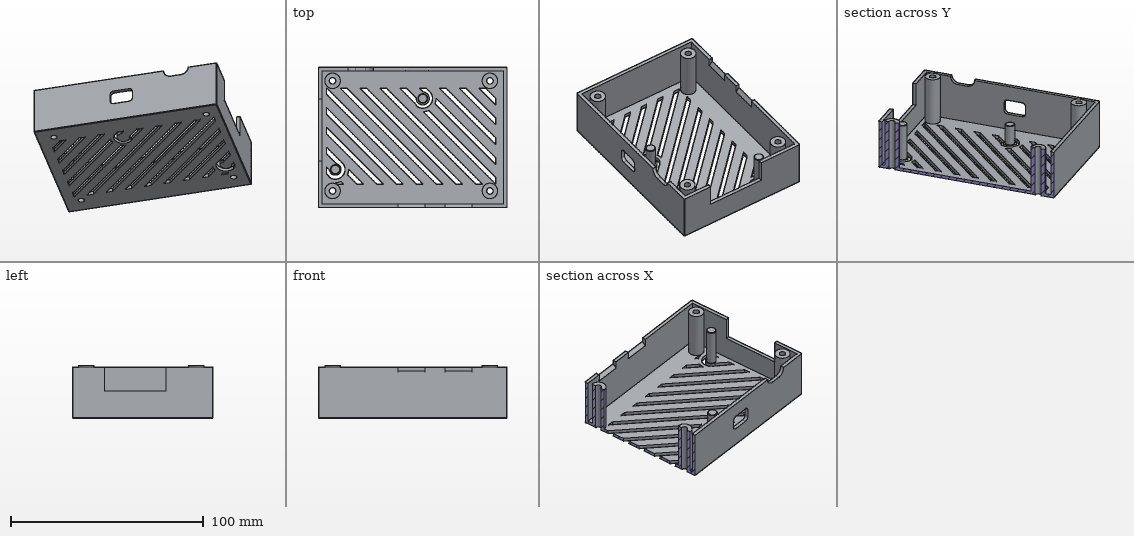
import cadquery as cq
import math

LENGTH = 98.05
WIDTH = 73.0
WALL_TOP = 26.7
WALL = 2.0
FLOOR = 2.0
EDGE_CHAMFER = 0.4

POST_TOP = 27.6
POST_DIAMETER = 8.0
SCREW_DIAMETER = 3.2
POST_SPACING_X = 81.7
POST_SPACING_Y = 57.2
POST_CENTER = (-0.8, 0.8)

VENT_MIN_X, VENT_MAX_X = -44.7, 43.0
VENT_MIN_Y, VENT_MAX_Y = -24.2, 25.5
VENT_WIDTH = 2.4
VENT_PITCH_X = 10.3
VENT_OFFSET_X = -0.1
VENTS_EACH_SIDE = 6

BUTTONS = [
    (5.2, 20.2, 12.8, 6.9),
    (-40.2, -16.7, 21.8, 6.0),
]
PIN_DIAMETER = 5.0
PIN_TIP_DIAMETER = 4.4
BUTTON_GAP_RADIUS = 5.0
BUTTON_WEB_RADIUS = 7.0

FRONT_NOTCH_CENTERS = (-0.6, 23.7)
FRONT_NOTCH_WIDTH = 14.0
FRONT_NOTCH_DEPTH = 2.2

SIDE_NOTCH_MIN_Y, SIDE_NOTCH_MAX_Y = -12.2, 19.8
SIDE_NOTCH_BOTTOM = 14.3

CABLE_NOTCH_CENTER_X = -27.1
CABLE_NOTCH_WIDTH = 13.2
CABLE_NOTCH_RADIUS = 4.0
PORT_CENTER = (2.2, 14.6)
PORT_WIDTH = 12.0
PORT_HEIGHT = 8.0
PORT_RADIUS = 2.0


def block(x_range, y_range, z_range):
    """Axis-aligned box between the given limits."""
    size = [high - low for low, high in (x_range, y_range, z_range)]
    corner = (x_range[0], y_range[0], z_range[0])
    return cq.Workplane("XY").box(*size, centered=False).translate(corner)


def cylinder(x, y, diameter, bottom, top):
    return cq.Workplane("XY", origin=(x, y, bottom)).circle(diameter / 2).extrude(top - bottom)


def tray():
    outer = cq.Workplane("XY").box(LENGTH, WIDTH, WALL_TOP, centered=(True, True, False))
    outer = outer.edges("|Z or <Z").chamfer(EDGE_CHAMFER)
    cavity = cq.Workplane("XY", origin=(0, 0, FLOOR)).rect(LENGTH - 2 * WALL, WIDTH - 2 * WALL)
    return outer.cut(cavity.extrude(WALL_TOP))


def half_disc(x, y, radius):
    """Half disc through the floor, on the +X -Y side of its 45 degree diameter."""
    d = radius * math.sqrt(0.5)
    outline = cq.Workplane("XY").moveTo(x - d, y - d).threePointArc((x + d, y - d), (x + d, y + d))
    return outline.close().extrude(FLOOR)


def floor_vents():
    """Diagonal slots; around each button two slots join in a U that frees the strip."""
    field = block((VENT_MIN_X, VENT_MAX_X), (VENT_MIN_Y, VENT_MAX_Y), (0, FLOOR))
    slots = cq.Workplane("XY")
    for index in range(-VENTS_EACH_SIDE, VENTS_EACH_SIDE + 1):
        slot = cq.Workplane("XY").box(2 * LENGTH, VENT_WIDTH, FLOOR, centered=(True, True, False))
        slot = slot.rotate((0, 0, 0), (0, 0, 1), -45)
        slots = slots.add(slot.translate((VENT_OFFSET_X + index * VENT_PITCH_X, 0, 0)))
    vents = field.intersect(slots.combine())
    for x, y, _, pad_diameter in BUTTONS:
        vents = vents.cut(half_disc(x, y, BUTTON_WEB_RADIUS))
        vents = vents.union(half_disc(x, y, BUTTON_GAP_RADIUS))
        vents = vents.cut(cylinder(x, y, pad_diameter, 0, FLOOR))
    return vents


def button_pin(x, y, top):
    tip_chamfer = (PIN_DIAMETER - PIN_TIP_DIAMETER) / 2
    return cylinder(x, y, PIN_DIAMETER, 0, top).faces(">Z").chamfer(tip_chamfer)


def front_notch(center_x):
    outer_y = -WIDTH / 2
    inner_y = outer_y + WALL
    sill = WALL_TOP - FRONT_NOTCH_DEPTH
    profile = [(outer_y, WALL_TOP), (outer_y, sill), (inner_y, sill - WALL), (inner_y, WALL_TOP)]
    notch = cq.Workplane("YZ").polyline(profile).close().extrude(FRONT_NOTCH_WIDTH)
    return notch.translate((center_x - FRONT_NOTCH_WIDTH / 2, 0, 0))


def side_notch():
    return block(
        (-LENGTH / 2, -LENGTH / 2 + WALL),
        (SIDE_NOTCH_MIN_Y, SIDE_NOTCH_MAX_Y),
        (SIDE_NOTCH_BOTTOM, WALL_TOP),
    )


def through_rear_wall(outline):
    """Extrude an XZ outline inward from the rear face by the wall thickness."""
    return outline.extrude(WALL).translate((0, WIDTH / 2, 0))


def cable_notch():
    """Round-ended slot centred on the rim, so only its lower half cuts the wall."""
    outline = cq.Workplane("XZ").center(CABLE_NOTCH_CENTER_X, WALL_TOP)
    return through_rear_wall(outline.slot2D(CABLE_NOTCH_WIDTH, 2 * CABLE_NOTCH_RADIUS))


def port_hole():
    outline = cq.Workplane("XZ").center(*PORT_CENTER).rect(PORT_WIDTH, PORT_HEIGHT)
    return through_rear_wall(outline).edges("|Y").fillet(PORT_RADIUS)


body = tray().cut(floor_vents())

for x, y, top, _ in BUTTONS:
    body = body.union(button_pin(x, y, top))

for side_x in (-1, 1):
    for side_y in (-1, 1):
        post_x = POST_CENTER[0] + side_x * POST_SPACING_X / 2
        post_y = POST_CENTER[1] + side_y * POST_SPACING_Y / 2
        body = body.union(cylinder(post_x, post_y, POST_DIAMETER, 0, POST_TOP))
        body = body.cut(cylinder(post_x, post_y, SCREW_DIAMETER, 0, POST_TOP))

for notch_x in FRONT_NOTCH_CENTERS:
    body = body.cut(front_notch(notch_x))
body = body.cut(side_notch())
body = body.cut(cable_notch())
body = body.cut(port_hole())

result = body